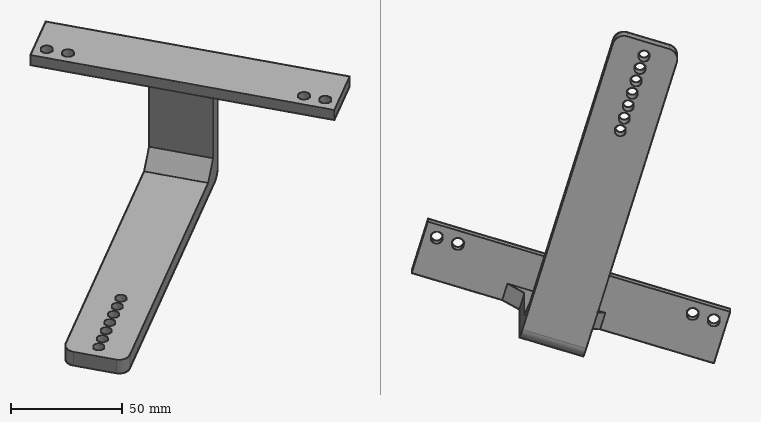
import cadquery as cq

plate_length = 142.0
total_depth = 148.5
total_height = 71.0

plate_depth = 25.0
plate_thickness = 6.0
plate_hole_diameter = 5.5
plate_hole_edge = 6.0
plate_hole_pitch = 10.0

bracket_width = 30.0
bracket_thickness = 8.0
bracket_offset = -5.5
corner_radius = 5.0
gusset_size = 8.0

arm_hole_diameter = 5.0
arm_hole_count = 7
arm_hole_span = 36.0
first_arm_hole = 6.5

plate_bottom = total_height - plate_thickness
wall_front = total_depth - bracket_thickness
plate_front = total_depth - plate_depth


def make_plate():
    """Flat top plate with two holes near each end."""
    plate = cq.Workplane("XY").box(
        plate_length, plate_depth, plate_thickness, centered=(True, False, False)
    ).translate((0, plate_front, plate_bottom))
    outer_x = plate_length / 2 - plate_hole_edge
    inner_x = outer_x - plate_hole_pitch
    hole_y = plate_front + plate_hole_edge
    centers = [(x, hole_y) for x in (-outer_x, -inner_x, inner_x, outer_x)]
    holes = (
        cq.Workplane("XY", origin=(0, 0, plate_bottom))
        .pushPoints(centers)
        .circle(plate_hole_diameter / 2)
        .extrude(plate_thickness)
    )
    return plate.cut(holes)


def make_bracket():
    """Arm and upright wall, with a sloped inner corner and rounded outer corners."""
    profile = [
        (0, 0),
        (total_depth, 0),
        (total_depth, plate_bottom),
        (wall_front, plate_bottom),
        (wall_front, bracket_thickness + gusset_size),
        (wall_front - gusset_size, bracket_thickness),
        (0, bracket_thickness),
    ]
    bracket = (
        cq.Workplane("YZ")
        .polyline(profile)
        .close()
        .extrude(bracket_width / 2, both=True)
    )
    bracket = bracket.edges("|Z and <Y").fillet(corner_radius)
    bracket = bracket.edges("|X and >Y and <Z").fillet(corner_radius)
    return bracket.translate((bracket_offset, 0, 0))


def make_wall_flare():
    """Sloped widening of the wall on both sides, just under the plate."""
    half_width = bracket_width / 2
    top_half_width = half_width + gusset_size
    flare_bottom = plate_bottom - gusset_size
    return (
        cq.Workplane("XZ", origin=(bracket_offset, total_depth, 0))
        .polyline([
            (-half_width, flare_bottom),
            (half_width, flare_bottom),
            (top_half_width, plate_bottom),
            (-top_half_width, plate_bottom),
        ])
        .close()
        .extrude(bracket_thickness)
    )


def make_arm_holes():
    """Straight row of through holes along the middle of the arm."""
    pitch = arm_hole_span / (arm_hole_count - 1)
    centers = [(bracket_offset, first_arm_hole + i * pitch) for i in range(arm_hole_count)]
    return (
        cq.Workplane("XY")
        .pushPoints(centers)
        .circle(arm_hole_diameter / 2)
        .extrude(bracket_thickness)
    )


result = make_bracket().union(make_wall_flare()).union(make_plate()).cut(make_arm_holes())